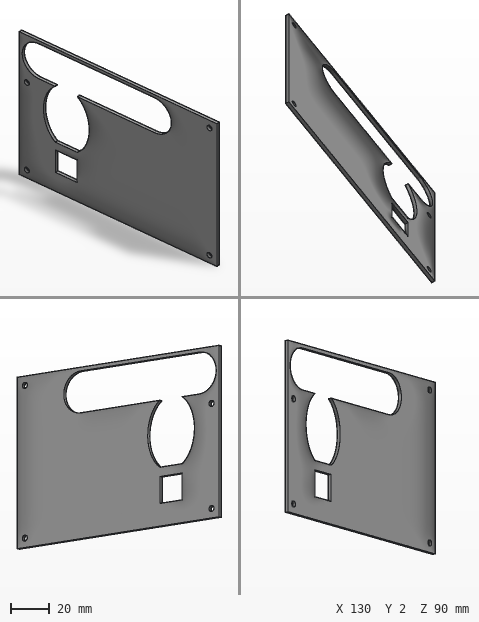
import cadquery as cq

plate_width = 130.0
plate_thickness = 2.0
plate_height = 90.0

slot_margin = 2.0
slot_length = 98.0
slot_height = 22.0

window_center_x = 31.0
window_width = 30.0
window_full_height = 40.0
window_flat_z = 31.0

square_side = 14.0
square_bottom_z = 12.0

hole_diameter = 3.1
hole_inset = 5.0
left_upper_hole_z = 60.0

slot_center_x = slot_margin + slot_length / 2
slot_center_z = plate_height - slot_margin - slot_height / 2
slot_bottom_z = slot_center_z - slot_height / 2
hole_right_x = plate_width - hole_inset
hole_points = [
    (hole_inset, hole_inset),
    (hole_inset, left_upper_hole_z),
    (hole_right_x, hole_inset),
    (hole_right_x, plate_height - hole_inset),
]


def profile_plane():
    """Front-face plane with local axes along X and Z; its normal is -Y."""
    return cq.Workplane("XZ")


def through(sketch):
    """Extrude a profile through the plate thickness, toward +Y."""
    return sketch.extrude(-plate_thickness)


def centered_box(center_x, center_z, width, height):
    return through(profile_plane().center(center_x, center_z).rect(width, height))


def top_slot():
    return through(profile_plane().center(slot_center_x, slot_center_z).slot2D(slot_length, slot_height))


def oval_window():
    """Ellipse limited to the band between its bottom flat and the slot."""
    center_z = (slot_bottom_z + window_flat_z) / 2
    oval = through(
        profile_plane().center(window_center_x, center_z).ellipse(window_width / 2, window_full_height / 2)
    )
    band = centered_box(window_center_x, center_z, window_width, slot_bottom_z - window_flat_z)
    return oval.intersect(band)


def square_window():
    return centered_box(window_center_x, square_bottom_z + square_side / 2, square_side, square_side)


def mounting_holes():
    return through(profile_plane().pushPoints(hole_points).circle(hole_diameter / 2))


plate = centered_box(plate_width / 2, plate_height / 2, plate_width, plate_height)
result = plate.cut(top_slot()).cut(oval_window()).cut(square_window()).cut(mounting_holes())